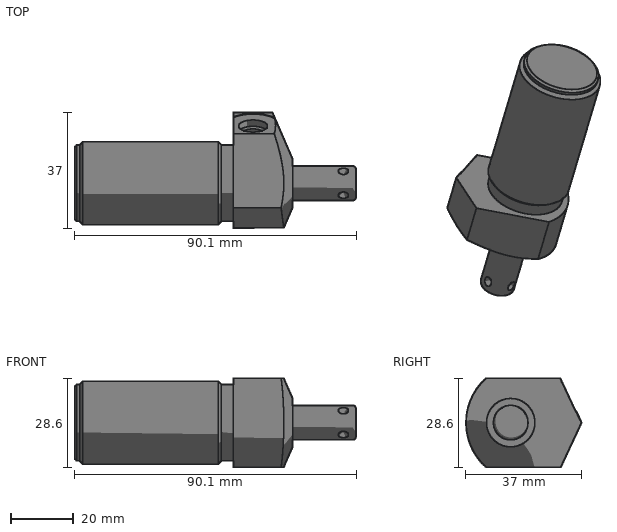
import cadquery as cq
import math

total_length = 90.1
body_radius = 13.3
neck_radius = 12.3
nose_radius = 11.5
nose_chamfer_length = 0.7
nose_length = 1.6
shoulder_chamfer = body_radius - neck_radius
body_end = 47.0

head_start = 50.8
head_end = 69.8
head_height = 28.6
head_half_height = head_height / 2
ridge_y = 22.7
back_y = -14.3
back_corner_y = -7.8
flank_angle = 65.0
cone_face_radius = 7.75
cone_slope = 2.3

rod_diameter = 11.1
rod_radius = rod_diameter / 2
rod_fillet = 1.1
dimple_x = 86.1
dimple_radius = 1.6
dimple_count = 4

port_x = 57.1
port_from_ridge = 10.0
spotface_radius = 9.0
spotface_depth = 0.2
port_radius = 4.6
port_depth = 2.4
port_cone_depth = 0.4
port_bore_radius = 3.4
port_bore_depth = 9.0


def revolve_about_x(points):
    """Revolve a closed (x, radius) outline about the X axis."""
    return cq.Workplane("XY").polyline(points).close().revolve(360, (0, 0, 0), (1, 0, 0))


def make_body():
    return revolve_about_x([
        (0, 0),
        (0, nose_radius),
        (nose_chamfer_length, neck_radius),
        (nose_length, neck_radius),
        (nose_length + shoulder_chamfer, body_radius),
        (body_end - shoulder_chamfer, body_radius),
        (body_end, neck_radius),
        (head_start, neck_radius),
        (head_start, 0),
    ])


def make_head():
    flank_end_y = ridge_y - head_half_height / math.tan(math.radians(flank_angle))
    block = (
        cq.Workplane("YZ", origin=(head_start, 0, 0))
        .moveTo(ridge_y, 0)
        .lineTo(flank_end_y, head_half_height)
        .lineTo(back_corner_y, head_half_height)
        .threePointArc((back_y, 0), (back_corner_y, -head_half_height))
        .lineTo(flank_end_y, -head_half_height)
        .close()
        .extrude(head_end - head_start)
    )
    cone_back_radius = cone_face_radius + cone_slope * (head_end - head_start)
    cone = revolve_about_x([
        (head_start, 0),
        (head_start, cone_back_radius),
        (head_end, cone_face_radius),
        (head_end, 0),
    ])
    return block.intersect(cone)


def make_rod():
    rod = (
        cq.Workplane("YZ", origin=(head_start, 0, 0))
        .circle(rod_radius)
        .extrude(total_length - head_start)
        .faces(">X").edges().fillet(rod_fillet)
    )
    overshoot = 0.9
    dimple = cq.Workplane(cq.Solid.makeCone(
        dimple_radius + overshoot,
        0,
        dimple_radius + overshoot,
        cq.Vector(dimple_x, 0, rod_radius + overshoot),
        cq.Vector(0, 0, -1),
    ))
    spacing = 360 / dimple_count
    for index in range(dimple_count):
        rod = rod.cut(dimple.rotate((0, 0, 0), (1, 0, 0), spacing * (index + 0.5)))
    return rod


def make_port_cutter():
    """Spotface, port with a shallow conical floor, and bore, square to the upper flank."""
    angle = math.radians(flank_angle)
    center = cq.Vector(
        port_x,
        ridge_y - port_from_ridge * math.cos(angle),
        port_from_ridge * math.sin(angle),
    )
    outward = cq.Vector(0, math.sin(angle), math.cos(angle))
    clearance = spotface_radius
    start = center + outward * clearance
    inward = outward * -1
    cutter = cq.Workplane("XY")
    for radius, depth in (
        (spotface_radius, spotface_depth),
        (port_radius, port_depth),
        (port_bore_radius, port_bore_depth),
    ):
        cutter = cutter.add(cq.Solid.makeCylinder(radius, clearance + depth, start, inward))
    floor = center + inward * port_depth
    cutter = cutter.add(cq.Solid.makeCone(port_radius, port_bore_radius, port_cone_depth, floor, inward))
    return cutter.combine()


result = make_body().union(make_head()).union(make_rod()).cut(make_port_cutter())